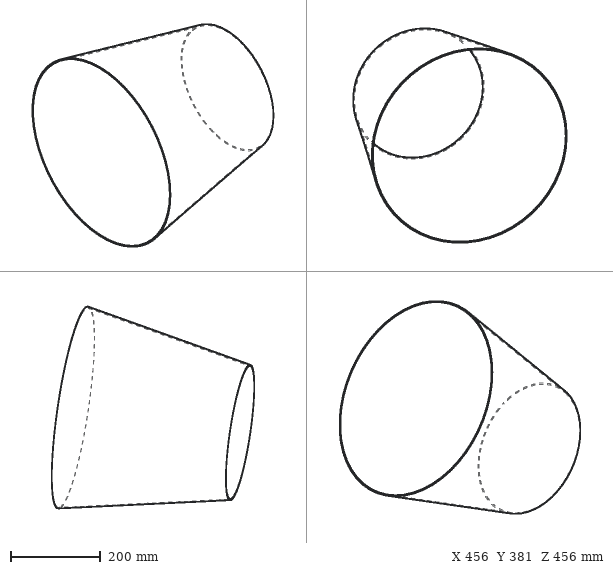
import cadquery as cq

wide_diameter = 456.0
narrow_diameter = 306.0
length = 381.0
wall = 3.0

wide_radius = wide_diameter / 2
narrow_radius = narrow_diameter / 2
wide_end = -length / 2
narrow_end = length / 2

wall_section = (
    cq.Workplane("XY")
    .moveTo(wide_radius - wall, wide_end)
    .lineTo(wide_radius, wide_end)
    .lineTo(narrow_radius, narrow_end)
    .lineTo(narrow_radius - wall, narrow_end)
    .close()
)

result = wall_section.revolve(360, (0, 0, 0), (0, 1, 0))